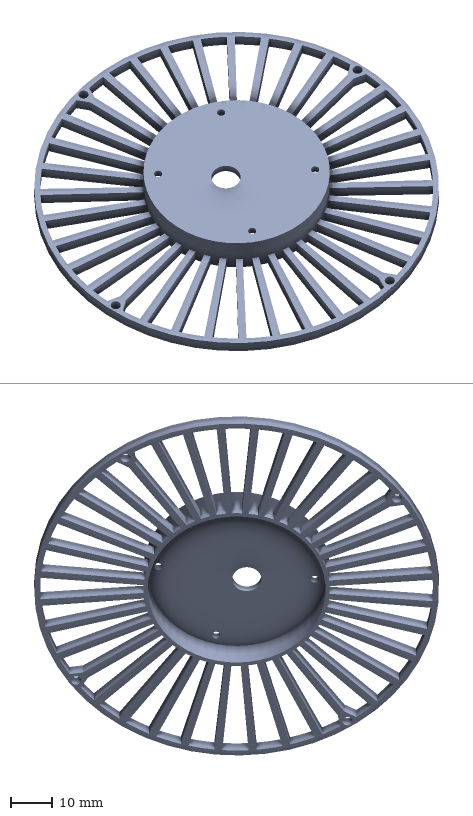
import cadquery as cq

outer_diameter = 97.8
rim_width = 1.5
wheel_thickness = 3.0
spoke_count = 36
spoke_root_width = 1.7
spoke_tip_width = 2.0

hub_diameter = 45.0
hub_height = 9.0
hub_cavity_diameter = 43.0
hub_cap_thickness = 2.0

cable_hole_diameter = 7.0
cable_hole_center = (-1.0, -2.9)
cap_hole_diameter = 2.0
cap_hole_spacing_x = 28.9
cap_hole_spacing_y = 24.5

rim_hole_count = 4
rim_hole_diameter = 2.4
rim_hole_radius = 47.1
flare_start_radius = 44.4
flare_end_radius = 47.5
flare_end_width = 5.0

rim_inner_radius = outer_diameter / 2 - rim_width
spoke_tip_radius = rim_inner_radius + rim_width / 2
spoke_root_radius = (hub_diameter + hub_cavity_diameter) / 4


def radial_bar(inner_radius, inner_width, outer_radius, outer_width, angle):
    """Flat bar along a radius, with straight sides and its own width at each end."""
    outline = [
        (inner_radius, -inner_width / 2),
        (outer_radius, -outer_width / 2),
        (outer_radius, outer_width / 2),
        (inner_radius, inner_width / 2),
    ]
    bar = cq.Workplane("XY").polyline(outline).close().extrude(wheel_thickness)
    return bar.rotate((0, 0, 0), (0, 0, 1), angle)


def make_rim():
    return (
        cq.Workplane("XY")
        .circle(outer_diameter / 2)
        .circle(rim_inner_radius)
        .extrude(wheel_thickness)
    )


def make_hub():
    cavity = (
        cq.Workplane("XY")
        .circle(hub_cavity_diameter / 2)
        .extrude(hub_height - hub_cap_thickness)
    )
    return cq.Workplane("XY").circle(hub_diameter / 2).extrude(hub_height).cut(cavity)


def make_holes():
    cable_hole = (
        cq.Workplane("XY")
        .center(*cable_hole_center)
        .circle(cable_hole_diameter / 2)
        .extrude(hub_height)
    )
    cap_holes = (
        cq.Workplane("XY")
        .rarray(cap_hole_spacing_x, cap_hole_spacing_y, 2, 2)
        .circle(cap_hole_diameter / 2)
        .extrude(hub_height)
    )
    rim_holes = (
        cq.Workplane("XY")
        .polarArray(rim_hole_radius, 0, 360, rim_hole_count)
        .circle(rim_hole_diameter / 2)
        .extrude(wheel_thickness)
    )
    return [cable_hole, cap_holes, rim_holes]


result = make_rim().union(make_hub())

for i in range(spoke_count):
    spoke_angle = i * 360 / spoke_count
    result = result.union(
        radial_bar(spoke_root_radius, spoke_root_width, spoke_tip_radius, spoke_tip_width, spoke_angle)
    )

for i in range(rim_hole_count):
    flare_angle = i * 360 / rim_hole_count
    result = result.union(
        radial_bar(flare_start_radius, spoke_tip_width, flare_end_radius, flare_end_width, flare_angle)
    )

for holes in make_holes():
    result = result.cut(holes)